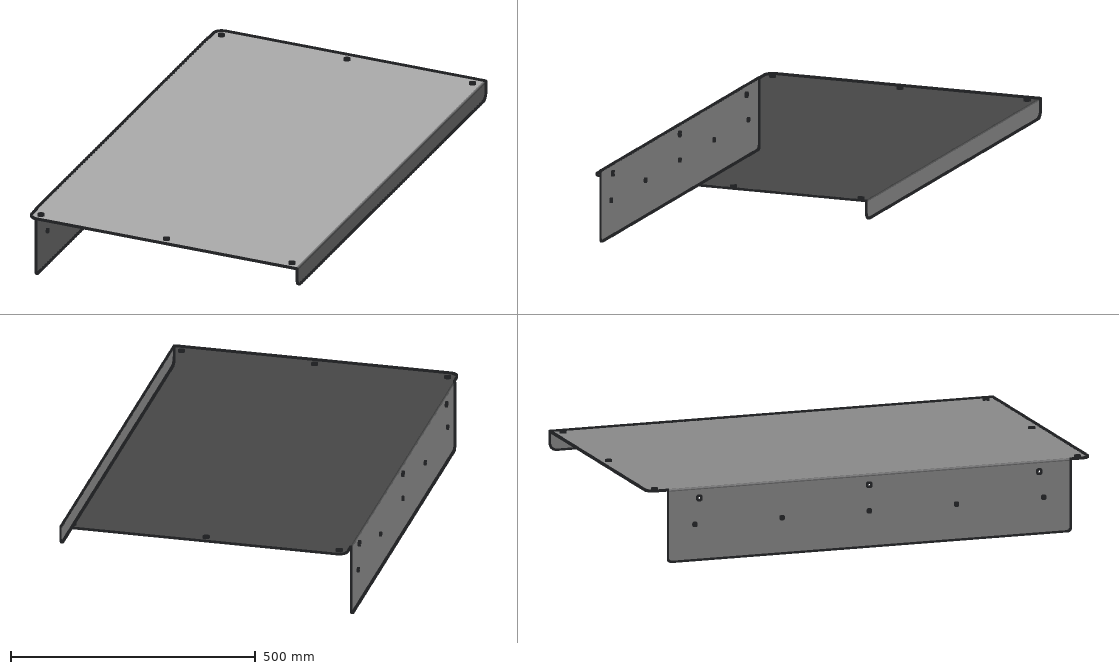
import cadquery as cq
import math

length_x = 604.0
width_y = 960.0
height_z = 152.0
sheet = 2.0
inner_bend_radius = 1.0
outer_bend_radius = inner_bend_radius + sheet
half_x = length_x / 2

plate_corner_radius = 18.0
plate_hole_diameter = 11.0
plate_hole_x = 280.0
plate_hole_y = 459.0

tall_width = 874.0
tall_corner_radius = 8.0
upper_hole_diameter = 10.0
upper_hole_count = 3
upper_hole_drop = 22.0
upper_hole_pitch = 369.0
lower_hole_diameter = 7.0
lower_hole_count = 5
lower_hole_drop = 77.0
lower_hole_pitch = 189.0

short_height = 41.0
short_corner_radius = 15.0


def make_flange(side, height, width, corner_radius):
    """Flange with its quarter-round bend; side is -1 for -X and +1 for +X."""
    outer_x = side * half_x
    inner_x = side * (half_x - sheet)
    bend_x = side * (half_x - outer_bend_radius)
    bend_z = -outer_bend_radius

    def bend_midpoint(radius):
        offset = radius * math.sqrt(0.5)
        return (bend_x + side * offset, bend_z + offset)

    flange = (
        cq.Workplane("XZ")
        .moveTo(bend_x, 0)
        .threePointArc(bend_midpoint(outer_bend_radius), (outer_x, bend_z))
        .lineTo(outer_x, -height)
        .lineTo(inner_x, -height)
        .lineTo(inner_x, bend_z)
        .threePointArc(bend_midpoint(inner_bend_radius), (bend_x, -sheet))
        .close()
        .extrude(width / 2, both=True)
    )
    return flange.faces("<Z").edges("|X").fillet(corner_radius)


def tall_flange_holes(diameter, drop, pitch, count):
    """Cutters for a centred row of holes through the tall flange."""
    positions = [((i - (count - 1) / 2) * pitch, -drop) for i in range(count)]
    return (
        cq.Workplane("YZ", origin=(-half_x, 0, 0))
        .pushPoints(positions)
        .circle(diameter / 2)
        .extrude(sheet)
    )


plate = (
    cq.Workplane("XY", origin=(0, 0, -sheet))
    .box(length_x - 2 * outer_bend_radius, width_y, sheet, centered=(True, True, False))
    .edges("|Z and <X")
    .fillet(plate_corner_radius)
)
plate_hole_positions = [
    (x, y)
    for x in (-plate_hole_x, 0, plate_hole_x)
    for y in (-plate_hole_y, plate_hole_y)
]
plate_holes = (
    cq.Workplane("XY")
    .pushPoints(plate_hole_positions)
    .circle(plate_hole_diameter / 2)
    .extrude(-sheet)
)
plate = plate.cut(plate_holes)

tall_flange = (
    make_flange(-1, height_z, tall_width, tall_corner_radius)
    .cut(tall_flange_holes(upper_hole_diameter, upper_hole_drop, upper_hole_pitch, upper_hole_count))
    .cut(tall_flange_holes(lower_hole_diameter, lower_hole_drop, lower_hole_pitch, lower_hole_count))
)

short_flange = make_flange(1, short_height, width_y, short_corner_radius)

result = plate.union(tall_flange).union(short_flange)